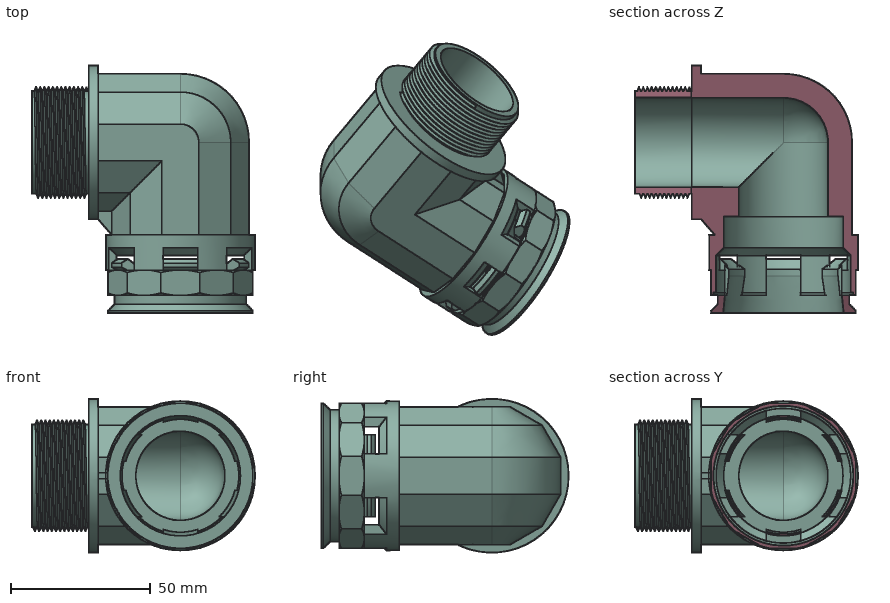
import cadquery as cq
import math

arm_apothem = 24.6
arm_sides = 12
bore_radius = 15.9

connector_end = -53.1
flange_outer_x = -32.9
flange_inner_x = -29.4
flange_radius = 27.55
thread_radius = 19.9
thread_pitch = 1.5
thread_root_radius = 18.4
thread_sink = 0.2
thread_base_width = 0.98 * thread_pitch
thread_lead = 0.35
connector_bore_radius = 16.0

collar_radius = 26.75
collar_bore_radius = 24.1
collar_start_y = -33.0
collar_end_y = -45.7
collar_bore_top_y = -40.5
socket_radius = 21.35
socket_seat_y = -26.6
window_top_y = -37.6
window_half_width = 6.2
corner_window_x = 16.6
corner_window_z = 7.8

gusset_thickness = 2.1

grip_apothem = 25.95
grip_sides = 12
grip_chamfer_radius = 26.0
grip_end_y = -54.65
grip_mouth_radius = 25.0
grip_mouth_depth = 0.9

ring_mouth_radius = 21.5
neck_radius = 23.65
neck_end_y = -57.8
flare_radius = 25.95
flare_edge_y = -60.2
ring_end_y = flange_radius - 88.6

claw_inner_radius = 20.2
claw_ridge_radius = 23.8
claw_outer_radius = 25.7
tongue_radius = 21.5
claw_lead_y = -47.7
claw_flat_y = -45.35
claw_tip_y = -41.6
claw_shoulder_y = -43.1
claw_hook_y = -44.6
tongue_back_y = -47.2
corner_claw_low_z = 5.1
corner_claw_high_z = 14.7


def box(x_range, y_range, z_range):
    """Box between the given limits along each axis."""
    sizes = [high - low for low, high in (x_range, y_range, z_range)]
    corner = (x_range[0], y_range[0], z_range[0])
    return cq.Workplane("XY").box(*sizes, centered=False).translate(corner)


def turned_about_y(points):
    """Solid of revolution about Y from (radius, y) points."""
    return cq.Workplane("XY").polyline(points).close().revolve(360, (0, 0, 0), (0, 1, 0))


def turned_about_x(points):
    """Solid of revolution about X from (x, radius) points."""
    return cq.Workplane("XY").polyline(points).close().revolve(360, (0, 0, 0), (1, 0, 0))


def polygon_points(apothem, sides):
    """Corners of a regular polygon with a flat side on each axis."""
    radius = apothem / math.cos(math.pi / sides)
    angles = [math.pi * (2 * i + 1) / sides for i in range(sides)]
    return [(radius * math.cos(a), radius * math.sin(a)) for a in angles]


def prism_along_y(apothem, sides, start_y, end_y):
    """Polygonal prism from start_y down to end_y."""
    prism = cq.Workplane("XZ").polyline(polygon_points(apothem, sides)).close()
    return prism.extrude(start_y - end_y).translate((0, start_y, 0))


def make_thread():
    """One helical V ridge whose base is sunk into the thread core."""
    start_x = connector_end + thread_lead + thread_pitch / 2
    end_x = flange_outer_x - thread_pitch / 2
    base_radius = thread_root_radius - thread_sink
    path = cq.Wire.makeHelix(thread_pitch, end_x - start_x, thread_root_radius)
    ridge = (
        cq.Workplane("XZ")
        .polyline(
            [
                (base_radius, -thread_base_width / 2),
                (thread_radius, 0),
                (base_radius, thread_base_width / 2),
            ]
        )
        .close()
        .sweep(cq.Workplane(path), isFrenet=True)
    )
    return ridge.rotate((0, 0, 0), (0, 1, 0), 90).translate((start_x, 0, 0))


def make_connector():
    body = turned_about_x(
        [
            (connector_end, connector_bore_radius),
            (connector_end, thread_root_radius),
            (flange_outer_x, thread_root_radius),
            (flange_outer_x, connector_bore_radius),
        ]
    )
    return body.union(make_thread(), clean=False)


def make_gusset():
    corner = (-arm_apothem, -arm_apothem)
    outline = [corner, (flange_inner_x, -arm_apothem), (flange_inner_x, -flange_radius)]
    outline += [(-arm_apothem, collar_start_y)]
    gusset = cq.Workplane("XY").polyline(outline).close()
    return gusset.extrude(gusset_thickness / 2, both=True)


def make_flange():
    flange = cq.Workplane("YZ", origin=(flange_outer_x, 0, 0)).circle(flange_radius)
    return flange.extrude(flange_inner_x - flange_outer_x)


def make_grip():
    """Twelve-sided grip with its corners chamfered at both ends."""
    prism = prism_along_y(grip_apothem, grip_sides, collar_end_y, grip_end_y)
    bevel = grip_apothem / math.cos(math.pi / grip_sides) - grip_chamfer_radius
    rounder = turned_about_y(
        [
            (0, collar_end_y),
            (grip_chamfer_radius, collar_end_y),
            (grip_chamfer_radius + bevel, collar_end_y - bevel),
            (grip_chamfer_radius + bevel, grip_end_y + bevel),
            (grip_chamfer_radius, grip_end_y),
            (0, grip_end_y),
        ]
    )
    return prism.intersect(rounder)


def make_openings():
    """Straight-sided passages that bound the windows: top, bottom and four corners."""
    reach = collar_radius + 0.9
    y_range = (collar_end_y, collar_start_y)
    openings = box((-window_half_width, window_half_width), y_range, (-reach, reach))
    for x_range in ((corner_window_x, reach), (-reach, -corner_window_x)):
        for z_range in ((corner_window_z, reach), (-reach, -corner_window_z)):
            openings = openings.union(box(x_range, y_range, z_range))
    return openings


def make_windows():
    """Windows through the collar, each with a 45 degree sloping top."""
    reach = collar_radius + 0.9
    slope_offset = window_top_y - collar_radius
    ring = turned_about_y(
        [
            (collar_bore_radius, slope_offset + collar_bore_radius),
            (reach, slope_offset + reach),
            (reach, collar_end_y),
            (collar_bore_radius, collar_end_y),
        ]
    )
    return ring.intersect(make_openings())


def make_bore():
    """Round bores of the two arms, meeting in a ball-shaped corner."""
    bore_x = cq.Workplane("YZ").circle(bore_radius).extrude(flange_outer_x)
    bore_y = cq.Workplane("XZ").circle(bore_radius).extrude(-socket_seat_y)
    corner = cq.Workplane("XY").sphere(bore_radius)
    return bore_x.union(bore_y).union(corner)


def make_socket():
    """Socket for the hose, widening at 45 degrees to the collar bore, with a wider mouth."""
    mouth_floor_y = grip_end_y + grip_mouth_depth
    cone_top_y = collar_bore_top_y + collar_bore_radius - socket_radius
    return turned_about_y(
        [
            (0, socket_seat_y),
            (socket_radius, socket_seat_y),
            (socket_radius, cone_top_y),
            (collar_bore_radius, collar_bore_top_y),
            (collar_bore_radius, mouth_floor_y),
            (grip_mouth_radius, mouth_floor_y),
            (grip_mouth_radius, grip_end_y),
            (0, grip_end_y),
        ]
    )


def make_elbow():
    arm_y = prism_along_y(arm_apothem, arm_sides, 0, collar_start_y)
    arm_x = prism_along_y(arm_apothem, arm_sides, 0, flange_inner_x)
    arm_x = arm_x.rotate((0, 0, 0), (0, 0, 1), -90)
    half_outline = [(0, -arm_apothem)]
    corners = [p for p in polygon_points(arm_apothem, arm_sides) if p[0] > 0]
    half_outline += sorted(corners, key=lambda p: p[1])
    half_outline += [(0, arm_apothem)]
    bend = cq.Workplane("XZ").polyline(half_outline).close().revolve(360, (0, 0, 0), (0, 1, 0))
    collar = cq.Workplane("XZ").circle(collar_radius).extrude(collar_start_y - collar_end_y)
    collar = collar.translate((0, collar_start_y, 0))
    elbow = arm_x.union(arm_y).union(bend).union(make_flange()).union(make_gusset())
    elbow = elbow.union(collar).union(make_grip())

    return elbow.cut(make_bore()).cut(make_socket()).cut(make_windows())


def make_claw_blocks(start_y, end_y):
    """Flat-sided blocks through the ring that bound the six claws."""
    y_range = (end_y, start_y)
    reach = collar_radius
    blocks = box((-window_half_width, window_half_width), y_range, (-reach, reach))
    for z_range in (
        (corner_claw_low_z, corner_claw_high_z),
        (-corner_claw_high_z, -corner_claw_low_z),
    ):
        blocks = blocks.union(box((-reach, reach), y_range, z_range))
    return blocks


def make_claws():
    """Six springy tongues standing on the neck, with hooks in the windows."""
    section = turned_about_y(
        [
            (claw_inner_radius, grip_end_y),
            (claw_inner_radius, claw_flat_y),
            (claw_ridge_radius, claw_tip_y),
            (claw_outer_radius, claw_shoulder_y),
            (claw_outer_radius, claw_hook_y),
            (collar_bore_radius, collar_end_y),
            (tongue_radius, tongue_back_y),
            (tongue_radius, grip_end_y),
        ]
    )
    arms = cq.Workplane("XZ", origin=(0, claw_tip_y, 0)).circle(tongue_radius)
    arms = arms.extrude(claw_tip_y - grip_end_y)
    claws = section.intersect(make_claw_blocks(claw_tip_y, grip_end_y))
    return claws.intersect(arms.union(make_openings()))


def make_lead_in():
    """Bore that narrows from the mouth of the ring to the claws."""
    return turned_about_y(
        [
            (0, ring_end_y),
            (ring_mouth_radius, ring_end_y),
            (claw_inner_radius, claw_lead_y),
            (0, claw_lead_y),
        ]
    )


def make_lock_ring():
    ring = turned_about_y(
        [
            (0, grip_end_y),
            (neck_radius, grip_end_y),
            (neck_radius, neck_end_y),
            (flare_radius, flare_edge_y),
            (flare_radius, ring_end_y),
            (0, ring_end_y),
        ]
    )
    bore = cq.Workplane("XZ").circle(claw_inner_radius).extrude(-ring_end_y)
    return ring.cut(bore).union(make_claws()).cut(make_lead_in())


connector = make_connector()
elbow = make_elbow()
lock_ring = make_lock_ring()

result = cq.Compound.makeCompound([connector.val(), elbow.val(), lock_ring.val()])